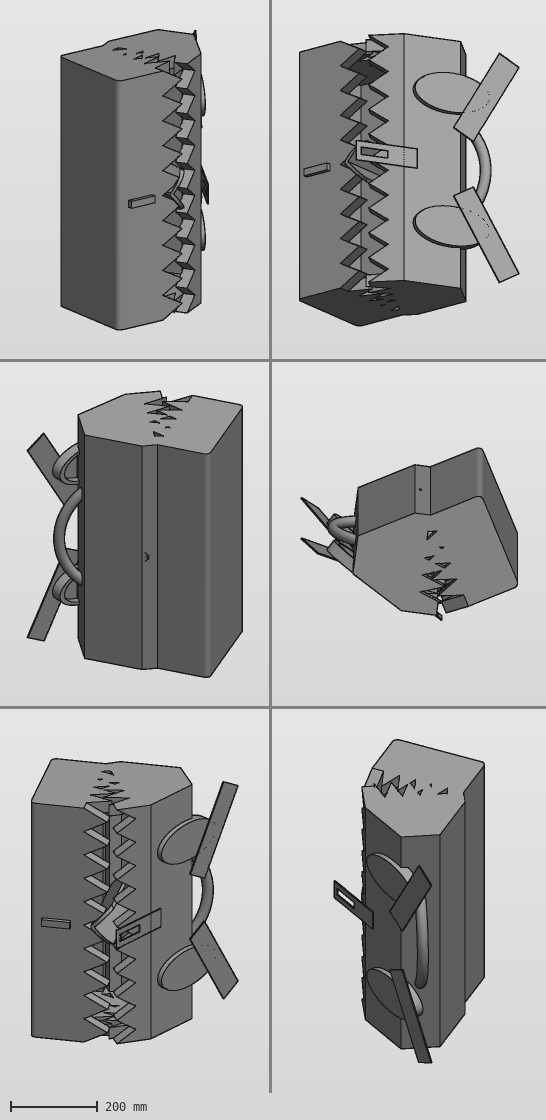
import cadquery as cq
import math

LENGTH = 607.5
WIDTH = 232.0
WALL = 29.0
BOX_HEIGHT = 127.0
BOX_CORNER = 13.0

TOOTH_HEIGHT = 56.0
END_TEETH = 5
SIDE_TEETH = 10
END_PITCH = (WIDTH - WALL) / END_TEETH
SIDE_PITCH = LENGTH / SIDE_TEETH

OPEN_ANGLE = 30.0
LID_STRAIGHT = 36.5
LID_HEIGHT = 159.0
LID_SLOPE = 60.0
LID_SIDE_TOOTH_HEIGHT = 45.5
LID_FIRST_TOOTH = 1.5

EYE_LENGTH = 185.0
EYE_WIDTH = 96.0
EYE_TOP = 13.0
EYE_THICKNESS = 27.5
EYE_SLOPE_POSITION = 26.0
EYE_Z = (170.0, -158.0)
EYE_POCKET_SCALE = 0.85
EYE_POCKET_DEPTH = 18.0

BROW_LENGTH = 228.5
BROW_WIDTH = 56.5
BROW_THICKNESS = 3.0
BROW_TILT = 60.0
BROW_SLOPE_POSITION = -58.5
BROW_Z = 169.0

HANDLE_TUBE = 13.0
HANDLE_REACH = 52.0
HANDLE_HALF_SPAN = 116.5

HASP_START = 109.5
HASP_END = 261.0
HASP_WIDTH = 47.5
HASP_THICKNESS = 3.0
HASP_SLOT_START = 182.0
HASP_SLOT_WIDTH = 18.0
HASP_BRIDGE = 12.0

STAPLE_BOTTOM = 28.5
STAPLE_TOP = 96.0
STAPLE_REACH = 10.5
STAPLE_WIDTH = 17.0

TONGUE_BACK = -12.0
TONGUE_FRONT = 238.0
TONGUE_BOTTOM = 145.0
TONGUE_HEIGHT = 50.5
TONGUE_WIDTH = 109.5
TONGUE_FLANK = 43.0
TONGUE_THICKNESS = 8.5
TONGUE_CORNER = 42.0
TONGUE_KEEL = 3.5

HALF_LENGTH = LENGTH / 2
FRONT_WALL_X = WIDTH - WALL
LID_INSET = (LID_HEIGHT - LID_STRAIGHT) / math.tan(math.radians(LID_SLOPE))
LID_APEX_X = WIDTH - LID_INSET
SLOPE_COS = math.cos(math.radians(LID_SLOPE))
SLOPE_SIN = math.sin(math.radians(LID_SLOPE))

SLOPE_PLANE = cq.Plane(
    origin=(LID_APEX_X, LID_HEIGHT, 0),
    xDir=(SLOPE_COS, -SLOPE_SIN, 0),
    normal=(SLOPE_SIN, SLOPE_COS, 0),
)


def prism_along_z(points, z_low, z_high):
    """Extrude an XY outline between two Z levels."""
    return cq.Workplane("XY").workplane(offset=z_low).polyline(points).close().extrude(z_high - z_low)


def prism_along_x(zy_points, x_low, x_high):
    """Extrude an outline of (z, y) points between two X levels."""
    outline = [(y, z) for z, y in zy_points]
    return cq.Workplane("YZ").workplane(offset=x_low).polyline(outline).close().extrude(x_high - x_low)


def saw_points(start, pitch, count, root, height):
    """Root and tip points of a row of triangular teeth."""
    points = [(start, root)]
    for index in range(count):
        points.append((start + (index + 0.5) * pitch, root + height))
        points.append((start + (index + 1) * pitch, root))
    return points


def on_both_ends(points):
    """The same XY outline as thick as the wall at both chest ends."""
    low = prism_along_z(points, -HALF_LENGTH, -HALF_LENGTH + WALL)
    high = prism_along_z(points, HALF_LENGTH - WALL, HALF_LENGTH)
    return low.union(high)


def make_box():
    block = cq.Workplane("XY").box(WIDTH, BOX_HEIGHT, LENGTH, centered=(False, False, True))
    block = block.edges("|Z and <Y").fillet(BOX_CORNER)
    cavity = (
        cq.Workplane("XY")
        .box(WIDTH - 2 * WALL, BOX_HEIGHT, LENGTH - 2 * WALL, centered=(False, False, True))
        .translate((WALL, WALL, 0))
    )
    end_saw = saw_points(0, END_PITCH, END_TEETH, BOX_HEIGHT, TOOTH_HEIGHT)
    end_base = [(FRONT_WALL_X, BOX_HEIGHT - WALL), (0, BOX_HEIGHT - WALL)]
    end_teeth = on_both_ends(end_saw + end_base)
    side_saw = saw_points(-HALF_LENGTH, SIDE_PITCH, SIDE_TEETH, BOX_HEIGHT, TOOTH_HEIGHT)
    side_base = [(HALF_LENGTH, BOX_HEIGHT - WALL), (-HALF_LENGTH, BOX_HEIGHT - WALL)]
    side_teeth = prism_along_x(side_saw + side_base, FRONT_WALL_X, WIDTH)
    return block.cut(cavity).union(end_teeth).union(side_teeth).union(make_staple())


def make_staple():
    return (
        cq.Workplane("XY")
        .box(STAPLE_REACH, STAPLE_TOP - STAPLE_BOTTOM, STAPLE_WIDTH, centered=(False, False, True))
        .translate((WIDTH, STAPLE_BOTTOM, 0))
    )


def lid_outline(bottom):
    return [
        (0, bottom),
        (WIDTH, bottom),
        (WIDTH, LID_STRAIGHT),
        (LID_APEX_X, LID_HEIGHT),
        (LID_INSET, LID_HEIGHT),
        (0, LID_STRAIGHT),
    ]


def make_lid_shell():
    block = prism_along_z(lid_outline(0), -HALF_LENGTH, HALF_LENGTH)
    cavity = (
        cq.Workplane("XY")
        .workplane(offset=WALL - HALF_LENGTH)
        .polyline(lid_outline(-WALL))
        .close()
        .offset2D(-WALL)
        .extrude(LENGTH - 2 * WALL)
    )
    return block.cut(cavity)


def make_lid_teeth():
    first = LID_FIRST_TOOTH * END_PITCH
    whole_teeth = math.floor(END_TEETH - LID_FIRST_TOOTH)
    end_outline = saw_points(first, END_PITCH, whole_teeth, 0, -TOOTH_HEIGHT)
    end_outline += [(FRONT_WALL_X, -TOOTH_HEIGHT), (FRONT_WALL_X, WALL), (first, WALL)]
    end_teeth = on_both_ends(end_outline)

    half_pitch = SIDE_PITCH / 2
    side_saw = saw_points(half_pitch - HALF_LENGTH, SIDE_PITCH, SIDE_TEETH - 1, 0, -LID_SIDE_TOOTH_HEIGHT)
    side_outline = side_saw + [
        (HALF_LENGTH, -LID_SIDE_TOOTH_HEIGHT),
        (HALF_LENGTH, LID_STRAIGHT),
        (-HALF_LENGTH, LID_STRAIGHT),
        (-HALF_LENGTH, -LID_SIDE_TOOTH_HEIGHT),
    ]
    side_teeth = prism_along_x(side_outline, FRONT_WALL_X, WIDTH)
    return end_teeth.union(side_teeth)


def make_eye(eye_z):
    eye = (
        cq.Workplane(SLOPE_PLANE)
        .workplane(offset=EYE_TOP - EYE_THICKNESS)
        .center(EYE_SLOPE_POSITION, -eye_z)
        .ellipse(EYE_LENGTH / 2, EYE_WIDTH / 2)
        .extrude(EYE_THICKNESS)
    )
    pocket = (
        cq.Workplane(SLOPE_PLANE)
        .workplane(offset=EYE_TOP - EYE_THICKNESS)
        .center(EYE_SLOPE_POSITION, -eye_z)
        .ellipse(EYE_POCKET_SCALE * EYE_LENGTH / 2, EYE_POCKET_SCALE * EYE_WIDTH / 2)
        .extrude(EYE_POCKET_DEPTH)
    )
    overhang = (
        cq.Workplane(SLOPE_PLANE)
        .center(-EYE_LENGTH / 2, -eye_z)
        .box(EYE_LENGTH, EYE_WIDTH, 2 * EYE_THICKNESS)
    )
    return eye.cut(pocket.intersect(overhang))


def make_brow(side):
    return (
        cq.Workplane(SLOPE_PLANE)
        .workplane(offset=EYE_TOP)
        .center(BROW_SLOPE_POSITION, -side * BROW_Z)
        .transformed(rotate=(0, 0, side * BROW_TILT))
        .rect(BROW_LENGTH, BROW_WIDTH)
        .extrude(BROW_THICKNESS)
    )


def make_handle():
    ring_radius = (HANDLE_HALF_SPAN**2 + HANDLE_REACH**2) / (2 * HANDLE_REACH)
    ring_centre = cq.Vector(WIDTH / 2, LID_HEIGHT + HANDLE_REACH - ring_radius, 0)
    ring = cq.Workplane(obj=cq.Solid.makeTorus(ring_radius, HANDLE_TUBE, ring_centre, cq.Vector(1, 0, 0)))
    above_lid = (
        cq.Workplane("XY")
        .box(WIDTH, 2 * HANDLE_REACH, LENGTH, centered=(False, False, True))
        .translate((0, LID_HEIGHT, 0))
    )
    return ring.intersect(above_lid)


def make_hasp():
    plate = (
        cq.Workplane(SLOPE_PLANE)
        .center((HASP_START + HASP_END) / 2, 0)
        .rect(HASP_END - HASP_START, HASP_WIDTH)
        .extrude(HASP_THICKNESS)
    )
    slot_end = HASP_END - HASP_BRIDGE
    slot = (
        cq.Workplane(SLOPE_PLANE)
        .center((HASP_SLOT_START + slot_end) / 2, 0)
        .rect(slot_end - HASP_SLOT_START, HASP_SLOT_WIDTH)
        .extrude(HASP_THICKNESS)
    )
    return plate.cut(slot)


def make_lid():
    lid = make_lid_shell().union(make_lid_teeth()).union(make_handle()).union(make_hasp())
    for eye_z in EYE_Z:
        lid = lid.union(make_eye(eye_z))
    for side in (-1, 1):
        lid = lid.union(make_brow(side))
    lid = lid.rotate((0, 0, 0), (0, 0, 1), OPEN_ANGLE)
    return lid.translate((0, BOX_HEIGHT, 0))


TONGUE_TOP = TONGUE_BOTTOM + TONGUE_HEIGHT
FLANK_ANGLE = math.radians(TONGUE_FLANK)
FLANK_TOP = TONGUE_TOP - TONGUE_THICKNESS * math.cos(FLANK_ANGLE)
FLANK_Z = TONGUE_KEEL + (FLANK_TOP - TONGUE_BOTTOM) / math.tan(FLANK_ANGLE)
RIM_Z = FLANK_Z - TONGUE_THICKNESS * math.sin(FLANK_ANGLE)
FOLD_Y = TONGUE_TOP - RIM_Z * math.tan(FLANK_ANGLE)


def make_tongue():
    section = [
        (-TONGUE_KEEL, TONGUE_BOTTOM),
        (TONGUE_KEEL, TONGUE_BOTTOM),
        (FLANK_Z, FLANK_TOP),
        (RIM_Z, TONGUE_TOP),
        (0, FOLD_Y),
        (-RIM_Z, TONGUE_TOP),
        (-FLANK_Z, FLANK_TOP),
    ]
    sheet = prism_along_x(section, TONGUE_BACK, TONGUE_FRONT)
    plan = (
        cq.Workplane("XY")
        .box(TONGUE_FRONT - TONGUE_BACK, 2 * TONGUE_HEIGHT, TONGUE_WIDTH)
        .edges("|Y")
        .fillet(TONGUE_CORNER)
        .translate(((TONGUE_BACK + TONGUE_FRONT) / 2, TONGUE_TOP, 0))
    )
    return sheet.intersect(plan)


def make_tongue_hollow():
    """Space inside the fold, where the tongue crosses the front wall of the box."""
    hollow = [(-RIM_Z, TONGUE_TOP), (RIM_Z, TONGUE_TOP), (0, FOLD_Y)]
    return prism_along_x(hollow, FRONT_WALL_X, WIDTH)


tongue = make_tongue()
box = make_box().cut(make_tongue_hollow())
housing = box.union(make_lid()).cut(tongue)

result = cq.Compound.makeCompound([housing.solids().val(), tongue.solids().val()])